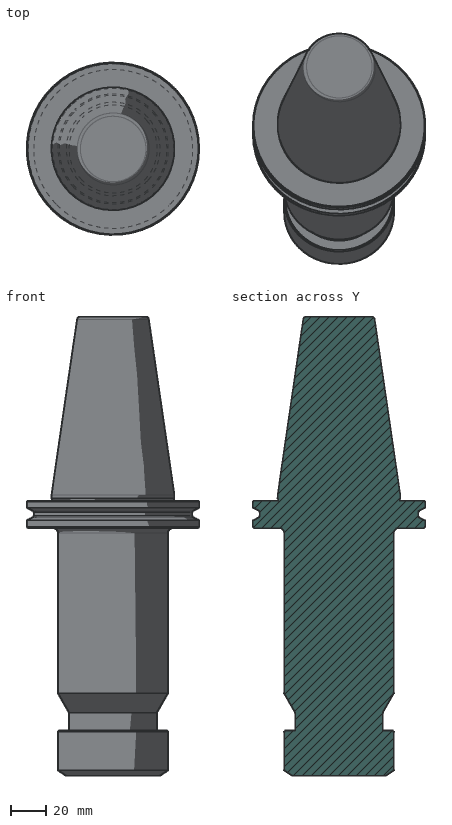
import cadquery as cq
import math

total_height = 261.5
gauge_z = 160.0
gauge_radius = 35.0
taper_half_slope = 7 / 48
tip_round = 1.8

flange_radius = 49.2
flange_top_z = 156.7
flange_bottom_z = 141.0
flange_top_chamfer = 0.5
flange_bottom_chamfer = 0.8
groove_center_z = 149.0
groove_floor_radius = 45.3
groove_floor_width = 3.1
groove_floor_fillet = 0.8
groove_flank_angle = 27.0
neck_undercut_height = 1.3
neck_undercut_depth = 0.5

body_radius = 31.5
body_fillet = 2.5
cone_top_z = 47.0
cone_bottom_z = 36.0
neck_radius = 25.0
nut_radius = body_radius
nut_top_z = 26.0
nut_top_chamfer = 0.8
nut_bottom_chamfer_height = 3.1
nut_bottom_radius = 26.7


def revolve_about_z(profile):
    return profile.close().revolve(360, (0, 0, 0), (0, 1, 0))


def make_taper():
    tip_radius = gauge_radius - taper_half_slope * (total_height - gauge_z)
    profile = (
        cq.Workplane("XZ")
        .moveTo(0, flange_bottom_z)
        .lineTo(gauge_radius - neck_undercut_depth, flange_bottom_z)
        .lineTo(gauge_radius - neck_undercut_depth, flange_top_z)
        .lineTo(gauge_radius, flange_top_z + neck_undercut_height)
        .lineTo(gauge_radius, gauge_z)
        .lineTo(tip_radius, total_height)
        .lineTo(0, total_height)
    )
    return revolve_about_z(profile).faces(">Z").edges().fillet(tip_round)


def make_flange():
    flange = (
        cq.Workplane("XY", origin=(0, 0, flange_bottom_z))
        .circle(flange_radius)
        .extrude(flange_top_z - flange_bottom_z)
        .edges(">Z")
        .chamfer(flange_top_chamfer)
        .edges("<Z")
        .chamfer(flange_bottom_chamfer)
    )
    groove_depth = flange_radius - groove_floor_radius
    half_floor = groove_floor_width / 2
    half_mouth = half_floor + groove_depth * math.tan(math.radians(groove_flank_angle))
    groove = (
        cq.Workplane("XZ")
        .moveTo(groove_floor_radius, groove_center_z - half_floor)
        .lineTo(flange_radius, groove_center_z - half_mouth)
        .lineTo(flange_radius, groove_center_z + half_mouth)
        .lineTo(groove_floor_radius, groove_center_z + half_floor)
    )
    floor_edges = cq.selectors.RadiusNthSelector(0)
    groove_ring = revolve_about_z(groove).edges(floor_edges).fillet(groove_floor_fillet)
    return flange.cut(groove_ring)


def make_body():
    profile = (
        cq.Workplane("XZ")
        .lineTo(nut_bottom_radius, 0)
        .lineTo(nut_radius, nut_bottom_chamfer_height)
        .lineTo(nut_radius, nut_top_z - nut_top_chamfer)
        .lineTo(nut_radius - nut_top_chamfer, nut_top_z)
        .lineTo(neck_radius, nut_top_z)
        .lineTo(neck_radius, cone_bottom_z)
        .lineTo(body_radius, cone_top_z)
        .lineTo(body_radius, flange_bottom_z - body_fillet)
        .radiusArc((body_radius + body_fillet, flange_bottom_z), body_fillet)
        .lineTo(0, flange_bottom_z)
    )
    return revolve_about_z(profile)


result = make_body().union(make_flange()).union(make_taper())